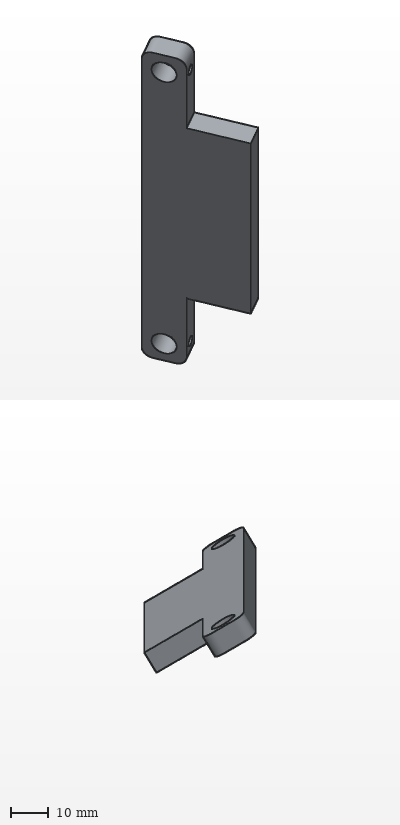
import cadquery as cq

length = 114.3
width = 30.7
thickness = 6.4

strip_width = 12.7
block_length = 63.8
corner_radius = thickness / 2

hole_diameter = 7.1
hole_inset = strip_width / 2
hole_heights = [-(length / 2 - hole_inset), length / 2 - hole_inset]

cross_hole_diameter = 3.0


def plate(x_size, z_size):
    """Flat plate starting at X = 0, centred on Z, with its front face on Y = 0."""
    return cq.Workplane("XY").box(x_size, thickness, z_size, centered=(False, False, True))


def mounting_hole(height):
    """Cutter along Y, through the full thickness."""
    return cq.Workplane("XZ").center(hole_inset, height).circle(hole_diameter / 2).extrude(-thickness)


def cross_hole(height):
    """Cutter along X at mid-thickness, from the mounting hole axis to the strip edge."""
    start = cq.Workplane("YZ", origin=(hole_inset, thickness / 2, height))
    return start.circle(cross_hole_diameter / 2).extrude(strip_width - hole_inset)


strip = plate(strip_width, length).edges("|Y").fillet(corner_radius)
result = strip.union(plate(width, block_length))

for hole_height in hole_heights:
    result = result.cut(mounting_hole(hole_height))
    result = result.cut(cross_hole(hole_height))